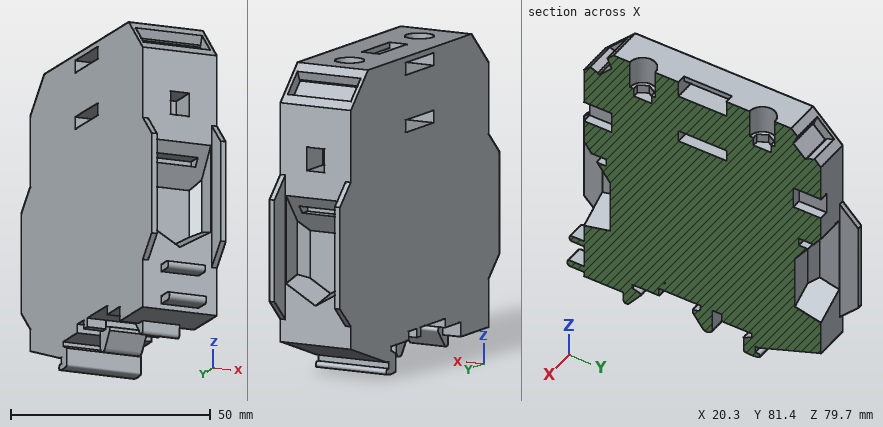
import cadquery as cq

width = 20.3
length = 81.4
height = 79.7
half_body = 35.2
top_chamfer = 8.8
base_z = 3.3
rail_seat_z = 7.1
rail_recess_z = 9.4
latch_wall_y = -20.8

ear_thickness = 1.5
ear_top_z = 52.6
ear_bottom_z = 15.7
ear_reach = length / 2 - half_body
ear_slope = 5.45

slider_width = 10.1

marker_width = 18.15
marker_length = 7.1
marker_floor_length = 5.2
marker_taper_depth = 2.3
marker_depth = 2.85

screw_y = 17.75
screw_hole_diameter = 7.4
screw_hole_depth = 8.1
hex_across_corners = 5.95
hex_depth = 2.45

slot_length = 14.2
slot_height = 3.2
slot_floors = (75.05, 60.4)
top_slot_width = 5.05
window_width = 5.1
window_height = 6.0
window_bottom_z = 54.3
window_depth = 8.1

funnel_width = 16.9
funnel_floor_width = 11.8
funnel_depth = 7.7
funnel_bevel_length = 1.95
funnel_top_z = 47.4
funnel_back_top_z = 37.4
funnel_side_z = 24.9
funnel_valley_z = 20.0
funnel_floor_rise = 1.8
funnel_slot_bottom_z = 42.5
funnel_slot_height = 2.0
funnel_slot_depth = 6.5


def extrude_x(sketch, x_width):
    """Extrude a closed outline in the YZ plane evenly to both sides of X = 0."""
    return sketch.extrude(x_width / 2, both=True)


def block(x_size, y_range, z_range):
    """Box centred on X = 0 that fills the given Y and Z ranges."""
    y_low, y_high = y_range
    z_low, z_high = z_range
    return cq.Workplane("XY").box(x_size, y_high - y_low, z_high - z_low).translate(
        (0, (y_low + y_high) / 2, (z_low + z_high) / 2)
    )


def both_ends(feature):
    """The feature made at the -Y end, together with its mirror image at the +Y end."""
    return feature.union(feature.mirror("XZ"))


def housing():
    top_y = half_body - top_chamfer
    outline = (
        cq.Workplane("YZ")
        .moveTo(-half_body, base_z)
        .lineTo(-half_body, height - top_chamfer)
        .lineTo(-top_y, height)
        .lineTo(top_y, height)
        .lineTo(half_body, height - top_chamfer)
        .lineTo(half_body, 9.9)
        .lineTo(16.6, base_z)
        .lineTo(15.7, base_z)
        .lineTo(15.7, 1.6)
        .lineTo(16.3, 1.6)
        .threePointArc((17.1, 0.9), (16.3, 0.2))
        .threePointArc((14.5, 0), (12.7, 0.2))
        .threePointArc((12.3, 0.3), (12.1, 0.65))
        .lineTo(12.1, 4.8)
        .lineTo(14.6, 6.0)
        .lineTo(14.6, rail_seat_z)
        .lineTo(5.6, rail_seat_z)
        .lineTo(5.6, rail_recess_z)
        .lineTo(1.55, rail_recess_z)
        .lineTo(1.55, rail_seat_z)
        .lineTo(-0.6, rail_seat_z)
        .lineTo(-0.6, rail_recess_z)
        .lineTo(-12.9, rail_recess_z)
        .lineTo(-12.9, rail_seat_z)
        .lineTo(latch_wall_y, rail_seat_z)
        .lineTo(latch_wall_y, base_z)
        .close()
    )
    return extrude_x(outline, width)


def ears():
    """Flat plates, flush with the sides, that project beyond the -Y end face."""
    tip_y = -half_body - ear_reach
    outline = (
        cq.Workplane("YZ")
        .moveTo(-half_body, ear_bottom_z)
        .lineTo(tip_y, ear_bottom_z + ear_slope)
        .lineTo(tip_y, ear_top_z - ear_slope)
        .lineTo(-half_body, ear_top_z)
        .close()
    )
    gap = block(width - 2 * ear_thickness, (-length, 0), (0, height))
    return extrude_x(outline, width).cut(gap)


def pull_tab(tip_y, z_bottom, z_top):
    """Tab on the -Y end face with a fully rounded tip."""
    radius = (z_top - z_bottom) / 2
    outline = (
        cq.Workplane("YZ")
        .moveTo(-half_body, z_bottom)
        .lineTo(tip_y + radius, z_bottom)
        .threePointArc((tip_y, z_bottom + radius), (tip_y + radius, z_top))
        .lineTo(-half_body, z_top)
        .close()
    )
    return extrude_x(outline, slider_width)


def middle_hook():
    outline = (
        cq.Workplane("YZ")
        .moveTo(3.0, rail_recess_z)
        .lineTo(3.0, 3.25)
        .threePointArc((1.3, 1.6), (0.0, 2.2))
        .lineTo(-2.9, 6.1)
        .lineTo(-2.9, rail_seat_z)
        .lineTo(-0.9, 7.65)
        .lineTo(-0.6, rail_recess_z)
        .close()
    )
    return extrude_x(outline, slider_width)


def latch():
    outline = (
        cq.Workplane("YZ")
        .moveTo(latch_wall_y, 6.1)
        .lineTo(-18.7, 5.5)
        .threePointArc((-18.3, 5.0), (-18.5, 4.5))
        .lineTo(-21.8, 0.4)
        .threePointArc((-22.1, 0.2), (-22.4, 0.1))
        .lineTo(-22.7, 0.1)
        .threePointArc((-23.3, 0.3), (-23.5, 0.9))
        .lineTo(-23.5, 6.1)
        .close()
    )
    return extrude_x(outline, slider_width)


def marker_pocket():
    """Pocket square to the -Y chamfer; its long walls taper, then run straight to the floor."""
    slope_middle = (0, top_chamfer / 2 - half_body, height - top_chamfer / 2)
    half_mouth = marker_length / 2
    half_floor = marker_floor_length / 2
    outline = (
        cq.Workplane(cq.Plane(origin=slope_middle, xDir=(0, 1, 1), normal=(1, 0, 0)))
        .moveTo(-half_mouth, 0)
        .lineTo(half_mouth, 0)
        .lineTo(half_floor, -marker_taper_depth)
        .lineTo(half_floor, -marker_depth)
        .lineTo(-half_floor, -marker_depth)
        .lineTo(-half_floor, -marker_taper_depth)
        .close()
    )
    return extrude_x(outline, marker_width)


def wire_funnel():
    """Recess in the -Y end face: sloping roof, V-shaped floor, bevelled back corners."""
    back_y = funnel_depth - half_body
    half_mouth = funnel_width / 2
    half_back = funnel_floor_width / 2

    plan = (
        cq.Workplane("XY")
        .moveTo(-half_mouth, -half_body)
        .lineTo(half_mouth, -half_body)
        .lineTo(half_mouth, back_y - funnel_bevel_length)
        .lineTo(half_back, back_y)
        .lineTo(-half_back, back_y)
        .lineTo(-half_mouth, back_y - funnel_bevel_length)
        .close()
        .extrude(height)
    )

    roof_profile = (
        cq.Workplane("YZ")
        .moveTo(-half_body, 0)
        .lineTo(-half_body, funnel_top_z)
        .lineTo(back_y, funnel_back_top_z)
        .lineTo(back_y, 0)
        .close()
    )
    below_roof = extrude_x(roof_profile, width)

    v_section = (
        cq.Workplane("XZ", origin=(0, -half_body, 0))
        .moveTo(-half_mouth, height)
        .lineTo(-half_mouth, funnel_side_z)
        .lineTo(0, funnel_valley_z)
        .lineTo(half_mouth, funnel_side_z)
        .lineTo(half_mouth, height)
        .close()
    )
    rising_line = cq.Workplane("YZ").moveTo(-half_body, 0).lineTo(back_y, funnel_floor_rise)
    above_floor = v_section.sweep(rising_line)

    roof_slot = block(
        funnel_floor_width,
        (-half_body, funnel_slot_depth - half_body),
        (funnel_slot_bottom_z, funnel_slot_bottom_z + funnel_slot_height),
    )
    return plan.intersect(below_roof).intersect(above_floor).union(roof_slot)


def test_window():
    return block(
        window_width,
        (-half_body, window_depth - half_body),
        (window_bottom_z, window_bottom_z + window_height),
    )


def screw_hole():
    """Round shaft from the top face with a hexagon socket in its floor."""
    shaft = cq.Workplane("XY").circle(screw_hole_diameter / 2).extrude(-screw_hole_depth)
    socket = cq.Workplane("XY").polygon(6, hex_across_corners).extrude(-screw_hole_depth - hex_depth)
    return shaft.union(socket).translate((0, -screw_y, height))


def label_slots():
    """Two slots across the full width; the upper one is also open to the top face."""
    half_slot = slot_length / 2
    slots = block(top_slot_width, (-half_slot, half_slot), (slot_floors[0], height))
    for floor_z in slot_floors:
        slots = slots.union(block(width, (-half_slot, half_slot), (floor_z, floor_z + slot_height)))
    return slots


result = housing().union(both_ends(ears()))
result = result.union(middle_hook()).union(latch())
result = result.union(pull_tab(tip_y=-39.6, z_bottom=13.1, z_top=15.0))
result = result.union(pull_tab(tip_y=-40.2, z_bottom=4.7, z_top=6.75))
for pocket in (marker_pocket(), wire_funnel(), test_window(), screw_hole()):
    result = result.cut(both_ends(pocket))
result = result.cut(label_slots())